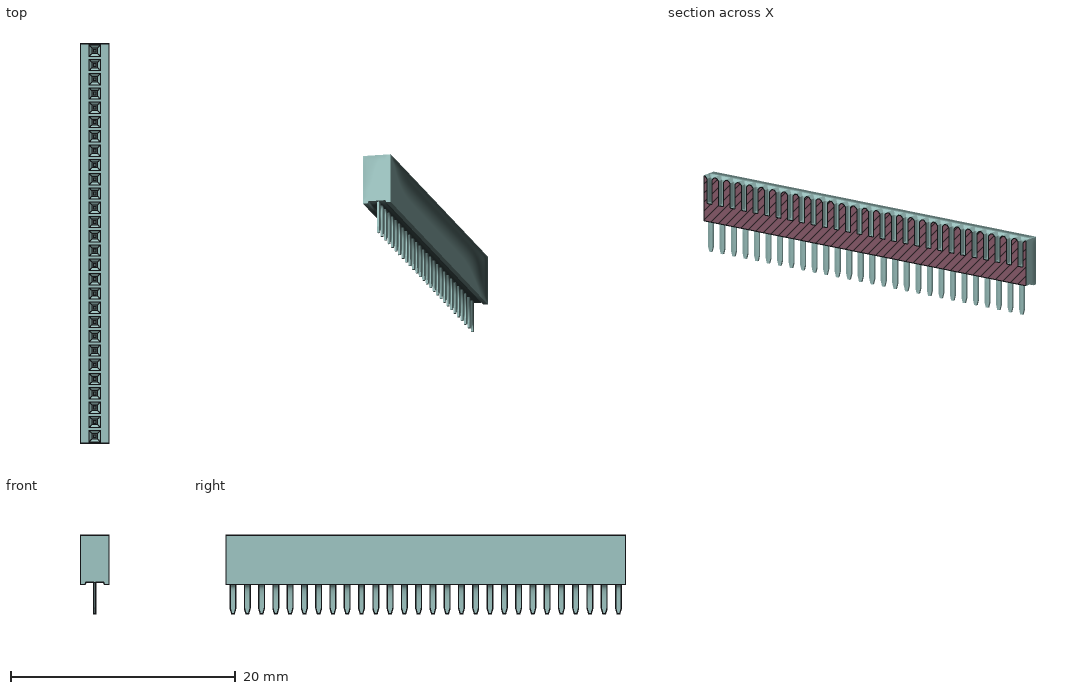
import cadquery as cq

PIN_COUNT = 28
PITCH = 1.27
BODY_WIDTH = 2.54
BODY_LENGTH = PIN_COUNT * PITCH
TOTAL_HEIGHT = 7.0
BODY_HEIGHT = 4.4
PIN_LENGTH = TOTAL_HEIGHT - BODY_HEIGHT

CHANNEL_DEPTH = 0.2
CHANNEL_ROOF_WIDTH = 1.55
CHANNEL_MOUTH_WIDTH = 1.7

LEAD_IN_SIZE = 1.0
LEAD_IN_DEPTH = 0.25
WELL_SIZE = 0.5
WELL_DEPTH = 2.5
CONTACT_HOLE_WIDTH = 0.2
CONTACT_HOLE_LENGTH = 0.25
CONTACT_HOLE_DEPTH = 0.5

PIN_THICKNESS = 0.2
PIN_WIDTH = 0.53
TIP_WIDTH = 0.25
TIP_LENGTH = 0.5

PIN_EMBED = 0.3
PIN_ROOT = CHANNEL_DEPTH + PIN_EMBED

pin_centres = [(0, (i - (PIN_COUNT - 1) / 2) * PITCH) for i in range(PIN_COUNT)]


def make_body():
    """Rectangular housing standing on Z = 0."""
    return cq.Workplane("XY").box(BODY_WIDTH, BODY_LENGTH, BODY_HEIGHT, centered=(True, True, False))


def make_channel():
    """Channel with sloped sides, running the full length of the underside."""
    half_mouth = CHANNEL_MOUTH_WIDTH / 2
    half_roof = CHANNEL_ROOF_WIDTH / 2
    outline = [
        (-half_mouth, 0),
        (half_mouth, 0),
        (half_roof, CHANNEL_DEPTH),
        (-half_roof, CHANNEL_DEPTH),
    ]
    return cq.Workplane("XZ").polyline(outline).close().extrude(BODY_LENGTH / 2, both=True)


def make_socket():
    """Cutting tool for one socket, hanging from Z = 0."""
    lead_in = (
        cq.Workplane("XY")
        .rect(LEAD_IN_SIZE, LEAD_IN_SIZE)
        .workplane(offset=-LEAD_IN_DEPTH)
        .rect(WELL_SIZE, WELL_SIZE)
        .loft(ruled=True)
    )
    well = cq.Workplane("XY").rect(WELL_SIZE, WELL_SIZE).extrude(-WELL_DEPTH)
    contact_hole_bottom = -(WELL_DEPTH + CONTACT_HOLE_DEPTH)
    contact_hole = (
        cq.Workplane("XY").rect(CONTACT_HOLE_WIDTH, CONTACT_HOLE_LENGTH).extrude(contact_hole_bottom)
    )
    return lead_in.union(well).union(contact_hole)


def make_pin():
    """Flat pin from its embedded root down to its tapered tip."""
    half_width = PIN_WIDTH / 2
    half_tip = TIP_WIDTH / 2
    shoulder = TIP_LENGTH - PIN_LENGTH
    outline = [
        (-half_width, PIN_ROOT),
        (-half_width, shoulder),
        (-half_tip, -PIN_LENGTH),
        (half_tip, -PIN_LENGTH),
        (half_width, shoulder),
        (half_width, PIN_ROOT),
    ]
    return cq.Workplane("YZ").polyline(outline).close().extrude(PIN_THICKNESS / 2, both=True)


def place_at_pins(tool, height):
    """Copies of a solid at every pin centre, raised to the given height."""
    shape = tool.val()
    return [shape.translate(cq.Vector(x, y, height)) for x, y in pin_centres]


housing = make_body().cut(make_channel()).val()
housing = housing.cut(*place_at_pins(make_socket(), BODY_HEIGHT))
strip = housing.fuse(*place_at_pins(make_pin(), 0))

result = cq.Workplane("XY").newObject(strip.Solids())